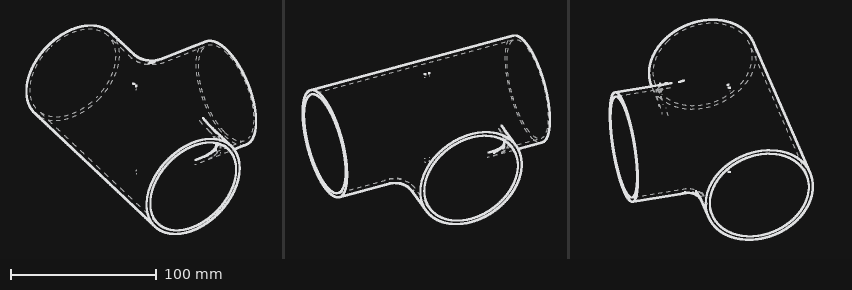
import cadquery as cq
import math

run_length = 152.0
outer_radius = 76.2 / 2
bore_radius = 70.2 / 2
branch_reach = 76.0
blend_radius = 19.0

blend_centre = outer_radius + blend_radius

section_count = 9
apex_angle = 88.0


def crossed_cylinders(radius):
    """Run along X joined to an equal branch along +Y."""
    run = cq.Workplane("YZ").circle(radius).extrude(run_length / 2, both=True)
    branch = cq.Workplane("XZ").circle(radius).extrude(-branch_reach)
    return run.union(branch)


def blend_section(radius, turn):
    """Upright half-ellipse through one point of the mid-height blend arc, closed by a vertical chord."""
    arc_radius = blend_centre - radius
    x = blend_centre - arc_radius * math.sin(turn)
    y = blend_centre - arc_radius * math.cos(turn)
    reach = math.hypot(x, y)
    outward = cq.Vector(x, y, 0)
    sideways = cq.Vector(y, -x, 0)
    ellipse = cq.Edge.makeEllipse(
        reach, radius, cq.Vector(0, 0, 0), sideways, outward, angle1=-apex_angle, angle2=apex_angle
    )
    chord = cq.Edge.makeLine(ellipse.endPoint(), ellipse.startPoint())
    return cq.Wire.assembleEdges([ellipse, chord])


def crotch_blend(radius):
    """Filler for the +X corner between run and branch, tangent to both cylinders."""
    turn_step = math.pi / 2 / (section_count - 1)
    sections = [blend_section(radius, i * turn_step) for i in range(section_count)]
    return cq.Workplane(cq.Solid.makeLoft(sections))


def blended_tee(radius):
    """Solid tee with blended corners on both sides of the branch."""
    blend = crotch_blend(radius)
    return crossed_cylinders(radius).union(blend).union(blend.mirror("YZ"))


result = blended_tee(outer_radius).cut(blended_tee(bore_radius))